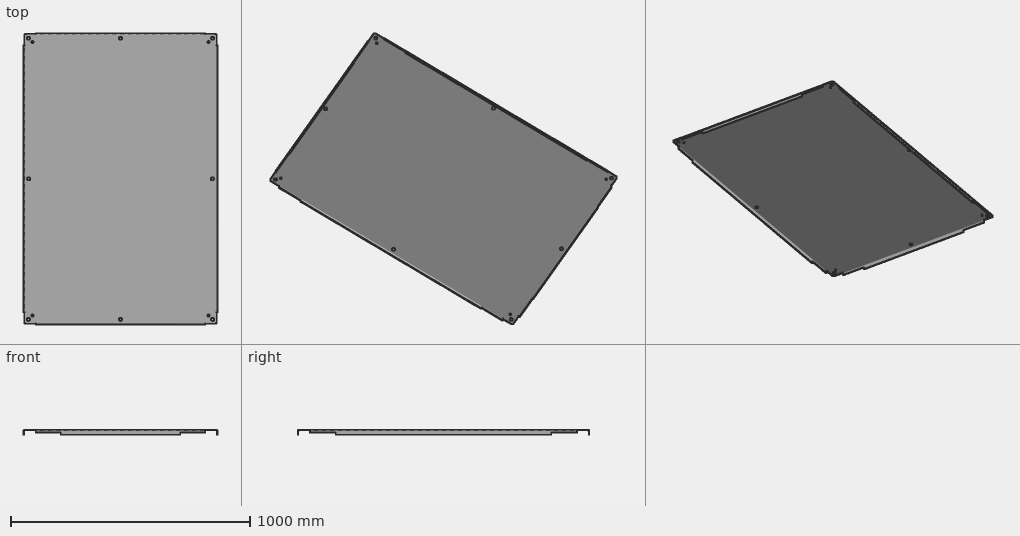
import cadquery as cq

length_x = 811.0
length_y = 1218.0
height = 22.0

thickness = 3.0
bend_radius = 2 * thickness
inner_radius = bend_radius - thickness
edge_setback = thickness
corner_radius = 7.0

flange_setback = 51.0
step_setback_x = 156.0
step_setback_y = 158.0
shallow_depth = 12.0

side_span = length_y - 2 * flange_setback
side_deep_span = length_y - 2 * step_setback_y
end_span = length_x - 2 * flange_setback
end_deep_span = length_x - 2 * step_setback_x

mounting_diameter = 12.0
mounting_x = 385.0
mounting_y = 587.0
side_mounting_x = 384.0
pilot_diameter = 7.2
pilot_x = 368.0
pilot_y = 571.0


def make_plate():
    """Flat rounded sheet that forms the top face."""
    return (
        cq.Workplane("XY", origin=(0, 0, height - thickness))
        .rect(length_x - 2 * edge_setback, length_y - 2 * edge_setback)
        .extrude(thickness)
        .edges("|Z")
        .fillet(corner_radius)
    )


def make_fold(reach, lower_edge, run):
    """Folded strip facing +X with its outer face at X = reach, centred along Y."""
    bend_start = reach - bend_radius
    bend_end = height - bend_radius
    inner_face = reach - thickness
    return (
        cq.Workplane("XZ", origin=(0, run / 2, 0))
        .moveTo(bend_start, height)
        .radiusArc((reach, bend_end), bend_radius)
        .lineTo(reach, lower_edge)
        .lineTo(inner_face, lower_edge)
        .lineTo(inner_face, bend_end)
        .radiusArc((bend_start, height - thickness), -inner_radius)
        .close()
        .extrude(run)
    )


def make_flange(reach, span, deep_span):
    """Flange with shallow ends and a deep middle stretch."""
    shallow = make_fold(reach, height - shallow_depth, span)
    return shallow.union(make_fold(reach, 0, deep_span))


def add_flanges(body, reach, span, deep_span, angles):
    """Trim the sheet at the bend line and join a flange there, for each angle about Z."""
    flange = make_flange(reach, span, deep_span)
    trim = cq.Workplane("XY").box(bend_radius, span, height, centered=(False, True, False))
    trim = trim.translate((reach - bend_radius, 0, 0))
    for angle in angles:
        body = body.cut(trim.rotate((0, 0, 0), (0, 0, 1), angle))
        body = body.union(flange.rotate((0, 0, 0), (0, 0, 1), angle))
    return body


def corner_points(x, y):
    return [(sign_x * x, sign_y * y) for sign_x in (-1, 1) for sign_y in (-1, 1)]


def drill(body, points, diameter):
    cutter = cq.Workplane("XY").pushPoints(points).circle(diameter / 2).extrude(height)
    return body.cut(cutter)


tray = make_plate()
tray = add_flanges(tray, length_x / 2, side_span, side_deep_span, (0, 180))
tray = add_flanges(tray, length_y / 2, end_span, end_deep_span, (90, 270))

mid_side_points = [(side_mounting_x, 0), (-side_mounting_x, 0), (0, mounting_y), (0, -mounting_y)]
tray = drill(tray, corner_points(mounting_x, mounting_y) + mid_side_points, mounting_diameter)
tray = drill(tray, corner_points(pilot_x, pilot_y), pilot_diameter)

result = tray